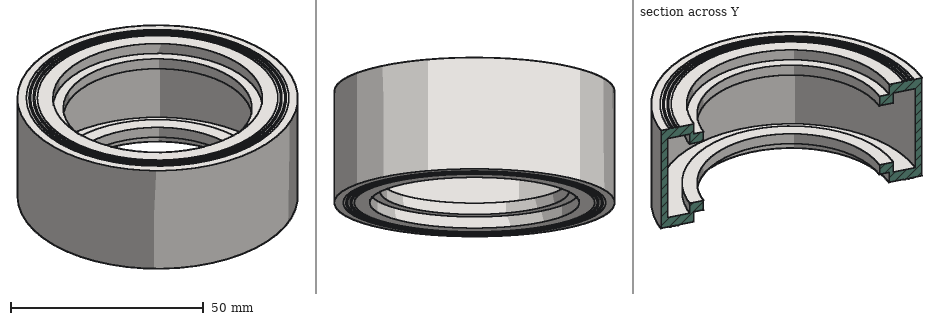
import cadquery as cq

outer_radius = 36.42
body_height = 29.8
half_height = body_height / 2

bore_radius = 24.5
counterbore_radius = 27.2
counterbore_depth = 3.0
lip_thickness = 3.0
collar_radius = 28.4

cavity_radius = 34.5
end_wall_thickness = 3.0

ridge_count = 3
ridge_outer_radius = 34.1
ridge_width = 0.68
ridge_height = 0.21
ridge_pitch = 1.1


def make_body():
    """Hollow ring with stepped end walls, revolved from one closed half-section."""
    wall_inside = half_height - end_wall_thickness
    lip_outside = half_height - counterbore_depth
    lip_inside = lip_outside - lip_thickness

    upper_outline = [
        (cavity_radius, wall_inside),
        (collar_radius, wall_inside),
        (collar_radius, lip_inside),
        (bore_radius, lip_inside),
        (bore_radius, lip_outside),
        (counterbore_radius, lip_outside),
        (counterbore_radius, half_height),
        (outer_radius, half_height),
    ]
    lower_outline = [(radius, -height) for radius, height in reversed(upper_outline)]
    section = cq.Workplane("XZ").polyline(upper_outline + lower_outline).close()
    return section.revolve(360, (0, 0, 0), (0, 1, 0))


def make_ridge(outer):
    """Low ring with a domed cross section standing on the upper end face."""
    inner = outer - ridge_width
    crest = (outer - ridge_width / 2, half_height + ridge_height)
    section = (
        cq.Workplane("XZ")
        .moveTo(inner, half_height)
        .threePointArc(crest, (outer, half_height))
        .close()
    )
    return section.revolve(360, (0, 0, 0), (0, 1, 0))


result = make_body()
for ridge_index in range(ridge_count):
    ridge = make_ridge(ridge_outer_radius - ridge_index * ridge_pitch)
    result = result.union(ridge).union(ridge.mirror("XY"))